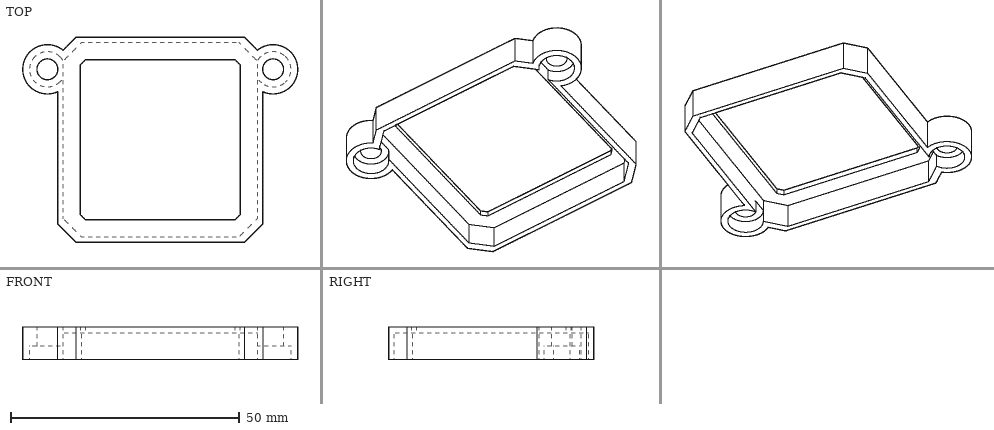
import cadquery as cq

frame_side = 44.9
height = 7.2
corner_chamfer = 4.0

window_side = 35.0
window_chamfer = 1.15
lip_thickness = 1.3

wall_thickness = 1.2
recess_side = frame_side - 2 * wall_thickness

overall_width = 60.3
ear_diameter = 10.85
ear_x = (overall_width - ear_diameter) / 2
ear_y = 15.45
bolt_hole_diameter = 4.5
head_bore_diameter = 7.8
head_bore_depth = 3.0


def chamfered_square(side, chamfer, thickness):
    """Square plate standing on Z = 0 with its four vertical edges chamfered."""
    plate = cq.Workplane("XY").rect(side, side).extrude(thickness)
    return plate.edges("|Z").chamfer(chamfer)


def ear_cylinders(diameter, length):
    """One upright cylinder at each ear centre, standing on Z = 0."""
    centres = [(-ear_x, ear_y), (ear_x, ear_y)]
    return cq.Workplane("XY").pushPoints(centres).circle(diameter / 2).extrude(length)


body = chamfered_square(frame_side, corner_chamfer, height)
body = body.union(ear_cylinders(ear_diameter, height))

body = body.cut(chamfered_square(window_side, window_chamfer, height))
body = body.cut(chamfered_square(recess_side, corner_chamfer, height - lip_thickness))

body = body.cut(ear_cylinders(bolt_hole_diameter, height))
result = body.cut(ear_cylinders(head_bore_diameter, head_bore_depth))